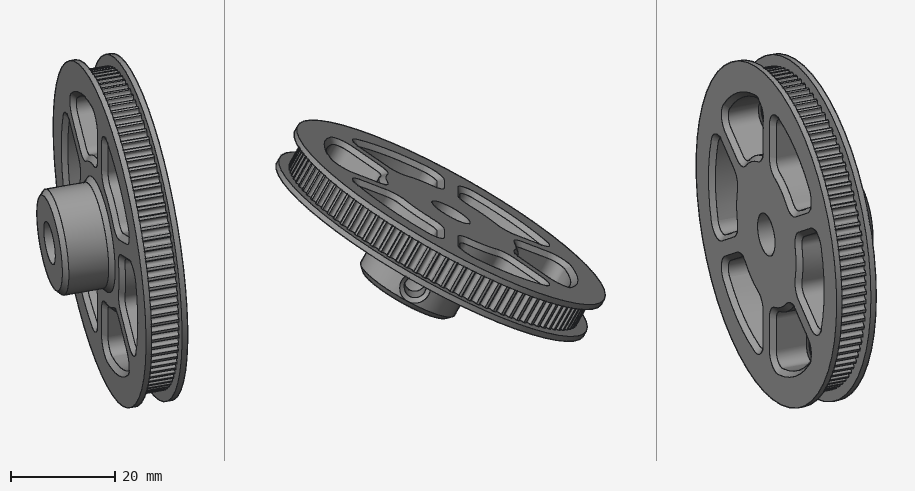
import cadquery as cq
import math

flange_radius = 33.8
flange_width = 1.15
track_width = 6.0
wheel_width = track_width + 2 * flange_width

tooth_count = 100
tooth_tip_radius = 31.6
groove_bottom_radius = 0.55
tooth_tip_rounding = 0.24
first_groove_angle = 180 / tooth_count

total_width = 18.3
hub_length = total_width - wheel_width
hub_radius = 10.35
bore_radius = 4.2
edge_chamfer = 1.0

spoke_count = 6
spoke_width = 5.0
window_inner_radius = 15.3
window_outer_radius = 26.8
window_corner_radius = 2.5

screw_hole_radius = 2.1
screw_hole_chamfer = 0.9
screw_hole_from_hub_end = 4.0

cutter_clearance = 0.7

hub_end_y = 0.0
front_face_y = hub_end_y + hub_length
track_start_y = front_face_y + flange_width
rear_face_y = front_face_y + wheel_width


def wheel_plane(y):
    """Plane facing +Y at the given station; its local x is -X and its local y is +Z."""
    return cq.Plane(origin=(0, y, 0), xDir=(-1, 0, 0), normal=(0, 1, 0))


def polar(radius, angle):
    return (radius * math.cos(math.radians(angle)), radius * math.sin(math.radians(angle)))


def make_cylinder(radius, start_y, length):
    """Cylinder on the Y axis reaching from start_y towards +Y."""
    return cq.Workplane(wheel_plane(start_y)).circle(radius).extrude(length)


def make_spoked_disc():
    """Disc with evenly spaced windows whose edges are chamfered on both faces."""
    disc = make_cylinder(flange_radius, front_face_y, wheel_width)
    disc = disc.cut(repeat_around_axis(make_window(), spoke_count))
    window_edges = [
        edge
        for face in disc.faces("<Y or >Y").vals()
        for wire in face.innerWires()
        for edge in wire.Edges()
    ]
    return cq.Workplane(disc.val().chamfer(edge_chamfer, None, window_edges))


def make_belt_track():
    """Ring removed between the flanges, down to the tooth tips."""
    return (
        cq.Workplane(wheel_plane(track_start_y))
        .circle(flange_radius + cutter_clearance)
        .circle(tooth_tip_radius)
        .extrude(track_width)
    )


def make_hub():
    """Hub with a chamfered end, a flared root and a radial screw hole."""
    flare_radius = hub_radius + edge_chamfer
    hub = (
        cq.Workplane("XY")
        .moveTo(0, hub_end_y)
        .lineTo(hub_radius - edge_chamfer, hub_end_y)
        .lineTo(hub_radius, hub_end_y + edge_chamfer)
        .lineTo(hub_radius, front_face_y - edge_chamfer)
        .lineTo(flare_radius, front_face_y)
        .lineTo(flare_radius, rear_face_y)
        .lineTo(0, rear_face_y)
        .close()
        .revolve(360, (0, 0, 0), (0, 1, 0))
    )
    drilled_hub = hub.cut(make_screw_hole())
    return drilled_hub.edges("<Z").chamfer(screw_hole_chamfer)


def make_belt_groove():
    """One groove: a round bottom that runs smoothly into rounded tooth tips."""
    half_mouth = groove_bottom_radius + tooth_tip_rounding
    bottom = tooth_tip_radius - half_mouth
    bend = bottom + groove_bottom_radius
    tip_mid_reach, _ = polar(tooth_tip_rounding, 45)
    tip_mid_x = bend + tip_mid_reach
    tip_mid_y = half_mouth - tip_mid_reach
    return (
        cq.Workplane(wheel_plane(track_start_y))
        .moveTo(tooth_tip_radius, -half_mouth)
        .threePointArc((tip_mid_x, -tip_mid_y), (bend, -groove_bottom_radius))
        .threePointArc((bottom, 0), (bend, groove_bottom_radius))
        .threePointArc((tip_mid_x, tip_mid_y), (tooth_tip_radius, half_mouth))
        .close()
        .extrude(track_width)
        .val()
    )


def make_window():
    """One window with rounded corners."""
    half_sector = 180 / spoke_count

    def corner(radius, side):
        spoke_angle = math.degrees(math.asin(spoke_width / 2 / radius))
        return polar(radius, side * (half_sector - spoke_angle))

    return (
        cq.Workplane(wheel_plane(front_face_y))
        .moveTo(*corner(window_inner_radius, -1))
        .lineTo(*corner(window_outer_radius, -1))
        .threePointArc((window_outer_radius, 0), corner(window_outer_radius, 1))
        .lineTo(*corner(window_inner_radius, 1))
        .threePointArc((window_inner_radius, 0), corner(window_inner_radius, -1))
        .close()
        .extrude(wheel_width)
        .edges("|Y")
        .fillet(window_corner_radius)
        .val()
    )


def repeat_around_axis(shape, count, start_angle=0):
    """Copies of a shape evenly spaced around the Y axis."""
    copies = [
        shape.rotate((0, 0, 0), (0, 1, 0), start_angle + i * 360 / count)
        for i in range(count)
    ]
    return cq.Workplane(cq.Compound.makeCompound(copies))


def make_screw_hole():
    """Radial hole from the axis out through the -Z side of the hub."""
    return (
        cq.Workplane("XY")
        .center(0, hub_end_y + screw_hole_from_hub_end)
        .circle(screw_hole_radius)
        .extrude(-hub_radius - cutter_clearance)
    )


result = (
    make_spoked_disc()
    .cut(make_belt_track())
    .cut(repeat_around_axis(make_belt_groove(), tooth_count, first_groove_angle))
    .union(make_hub())
    .cut(make_cylinder(bore_radius, hub_end_y, total_width))
)